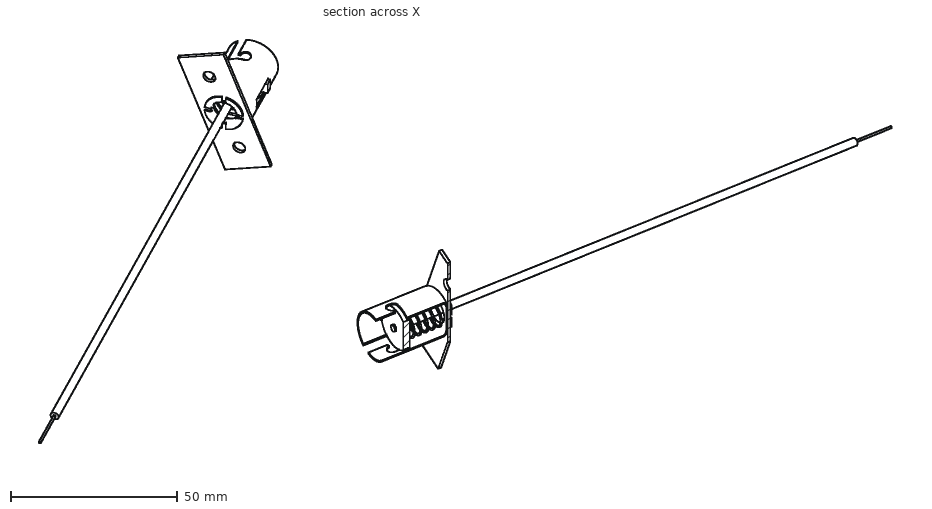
import cadquery as cq
import math


DIAGONAL = math.sqrt(0.5)

PLATE_WIDTH = 15.7
PLATE_LENGTH = 42.9
PLATE_THICKNESS = 1.1
PLATE_TILT = 20.7
SCREW_HOLE_DIAMETER = 4.0
SCREW_HOLE_SPACING = 27.0

BARREL_RADIUS = 8.2
BARREL_LENGTH = 23.9
BARREL_WALL = 0.5
BARREL_FILLET = 1.5
NECK_BORE_RADIUS = 4.0
BORE_FLARE_RADIUS = 0.7
RIM_RADIUS = 6.1
RIM_THICKNESS = 0.5
SLIT_WIDTH = 1.3
NECK_RADIUS = NECK_BORE_RADIUS + BARREL_WALL

SLOT_LEFT = -4.8
SLOT_WIDTH = 2.8
SLOT_DEPTH = 9.3
HOOK_CENTRE = 0.28
HOOK_RADIUS = 1.7
HOOK_TOP_DEPTH = 5.4
HOOK_FOOT_DEPTH = 6.9

WINDOW_START_DEPTH = 8.0
WINDOW_LENGTH = 10.8
WINDOW_WIDTH = 4.1
WINDOW_CORNER_RADIUS = 1.1

PLUNGER_RADIUS = 7.3
PLUNGER_THICKNESS = 2.5
EAR_REACH = 8.5
EAR_WIDTH = 3.5

SPRING_WIRE_RADIUS = 0.28
SPRING_RADIUS = 4.7
SPRING_TURNS = 5.0
SPRING_END_GAP = 0.05

INSULATION_RADIUS = 1.3
CORE_RADIUS = 0.4
STRIPPED_LENGTH = 12.9
TOTAL_LENGTH = 186.4
CONTACT_RADIUS = 1.1
CONTACT_HEIGHT = 0.5

PLUNGER_FRONT = BARREL_LENGTH - WINDOW_START_DEPTH
PLUNGER_BACK = PLUNGER_FRONT - PLUNGER_THICKNESS
CORE_END = BARREL_LENGTH - TOTAL_LENGTH
INSULATION_END = CORE_END + STRIPPED_LENGTH


def cylinder_along_y(radius, start, end):
    """Solid cylinder on the Y axis between two places along it."""
    return cq.Workplane("XZ", origin=(0, start, 0)).circle(radius).extrude(start - end)


def make_plate():
    plate = (
        cq.Workplane("XZ")
        .rect(PLATE_WIDTH, PLATE_LENGTH)
        .extrude(PLATE_THICKNESS)
        .faces("<Y")
        .workplane(origin=(0, 0, 0))
        .pushPoints([(0, -SCREW_HOLE_SPACING / 2), (0, SCREW_HOLE_SPACING / 2)])
        .hole(SCREW_HOLE_DIAMETER)
        .cut(cylinder_along_y(NECK_RADIUS, -PLATE_THICKNESS, 0))
    )
    return plate.rotate((0, 0, 0), (0, 1, 0), -PLATE_TILT)


def make_barrel_shell():
    """Thin cup whose neck passes through the plate and is rolled over its front."""
    rim_front = -PLATE_THICKNESS - RIM_THICKNESS
    flare_outer = NECK_BORE_RADIUS + BORE_FLARE_RADIUS
    flare_inset = BORE_FLARE_RADIUS * (1 - DIAGONAL)
    inner_radius = BARREL_RADIUS - BARREL_WALL
    inner_fillet = BARREL_FILLET - BARREL_WALL
    profile = (
        cq.Workplane("XY")
        .moveTo(-flare_outer, rim_front)
        .lineTo(-RIM_RADIUS, rim_front)
        .lineTo(-RIM_RADIUS, -PLATE_THICKNESS)
        .lineTo(-NECK_RADIUS, -PLATE_THICKNESS)
        .lineTo(-NECK_RADIUS, 0)
        .lineTo(-BARREL_RADIUS + BARREL_FILLET, 0)
        .threePointArc(
            (-BARREL_RADIUS + BARREL_FILLET * (1 - DIAGONAL), BARREL_FILLET * (1 - DIAGONAL)),
            (-BARREL_RADIUS, BARREL_FILLET),
        )
        .lineTo(-BARREL_RADIUS, BARREL_LENGTH)
        .lineTo(-inner_radius, BARREL_LENGTH)
        .lineTo(-inner_radius, BARREL_FILLET)
        .threePointArc(
            (-inner_radius + inner_fillet * (1 - DIAGONAL), BARREL_FILLET - inner_fillet * DIAGONAL),
            (-inner_radius + inner_fillet, BARREL_WALL),
        )
        .lineTo(-NECK_BORE_RADIUS, BARREL_WALL)
        .lineTo(-NECK_BORE_RADIUS, rim_front + BORE_FLARE_RADIUS)
        .threePointArc(
            (-NECK_BORE_RADIUS - flare_inset, rim_front + flare_inset),
            (-flare_outer, rim_front),
        )
        .close()
    )
    return profile.revolve(360, (0, 0, 0), (0, 1, 0))


def make_bayonet_slot():
    """Cutter for one J-shaped slot, open at the barrel's end, on the +Z side."""
    slot_right = SLOT_LEFT + SLOT_WIDTH
    slot_bottom = BARREL_LENGTH - SLOT_DEPTH
    foot_top = BARREL_LENGTH - HOOK_FOOT_DEPTH
    hook_top = BARREL_LENGTH - HOOK_TOP_DEPTH
    hook_left = HOOK_CENTRE - HOOK_RADIUS
    hook_right = HOOK_CENTRE + HOOK_RADIUS
    corner_inset = HOOK_RADIUS * (1 - DIAGONAL)
    return (
        cq.Workplane("XY")
        .moveTo(SLOT_LEFT, BARREL_LENGTH)
        .lineTo(SLOT_LEFT, slot_bottom)
        .lineTo(HOOK_CENTRE, slot_bottom)
        .threePointArc(
            (hook_right - corner_inset, slot_bottom + corner_inset),
            (hook_right, slot_bottom + HOOK_RADIUS),
        )
        .lineTo(hook_right, hook_top - HOOK_RADIUS)
        .threePointArc((HOOK_CENTRE, hook_top), (hook_left, hook_top - HOOK_RADIUS))
        .lineTo(hook_left, foot_top)
        .lineTo(slot_right, foot_top)
        .lineTo(slot_right, BARREL_LENGTH)
        .close()
        .extrude(BARREL_RADIUS)
    )


def make_guide_windows():
    """Cutter for the two opposite windows on the -X and +X sides."""
    middle = BARREL_LENGTH - WINDOW_START_DEPTH - WINDOW_LENGTH / 2
    return (
        cq.Workplane("XY")
        .box(2 * BARREL_RADIUS, WINDOW_LENGTH, WINDOW_WIDTH)
        .edges("|X and <Y")
        .fillet(WINDOW_CORNER_RADIUS)
        .translate((0, middle, 0))
    )


def make_rim_slit():
    """Cutter for two opposite slits that part the rolled rim into tabs."""
    slit = cq.Workplane("XY").box(2 * RIM_RADIUS, RIM_THICKNESS, SLIT_WIDTH)
    return slit.translate((0, -PLATE_THICKNESS - RIM_THICKNESS / 2, 0))


def make_barrel():
    barrel = make_barrel_shell().cut(make_guide_windows())
    for angle in (0, 90):
        barrel = barrel.cut(make_rim_slit().rotate((0, 0, 0), (0, 1, 0), angle))
    for angle in (0, 180):
        barrel = barrel.cut(make_bayonet_slot().rotate((0, 0, 0), (0, 1, 0), angle))
    return barrel


def make_plunger():
    """Disc with two ears that run in the windows, bored for the cable's core."""
    ears = cq.Workplane("XY").box(2 * EAR_REACH, PLUNGER_THICKNESS, EAR_WIDTH)
    ears = ears.translate((0, (PLUNGER_FRONT + PLUNGER_BACK) / 2, 0))
    disc = cylinder_along_y(PLUNGER_RADIUS, PLUNGER_BACK, PLUNGER_FRONT)
    return disc.union(ears).cut(cylinder_along_y(CORE_RADIUS, PLUNGER_BACK, PLUNGER_FRONT))


def make_spring():
    """Coil spring between the barrel's floor and the back of the plunger."""
    end_offset = SPRING_WIRE_RADIUS + SPRING_END_GAP
    height = PLUNGER_BACK - BARREL_WALL - 2 * end_offset
    path = cq.Wire.makeHelix(height / SPRING_TURNS, height, SPRING_RADIUS)
    spring = (
        cq.Workplane("XZ", origin=(SPRING_RADIUS, 0, 0))
        .circle(SPRING_WIRE_RADIUS)
        .sweep(cq.Workplane(path), isFrenet=True)
    )
    upright_to_y = spring.rotate((0, 0, 0), (1, 0, 0), -90)
    return upright_to_y.translate((0, BARREL_WALL + end_offset, 0))


def make_insulation():
    sleeve = cylinder_along_y(INSULATION_RADIUS, INSULATION_END, PLUNGER_BACK)
    return sleeve.cut(cylinder_along_y(CORE_RADIUS, INSULATION_END, PLUNGER_BACK))


def make_core():
    """Bare conductor, ending in a contact button on the plunger's face."""
    conductor = cylinder_along_y(CORE_RADIUS, CORE_END, PLUNGER_FRONT)
    contact = cylinder_along_y(CONTACT_RADIUS, PLUNGER_FRONT, PLUNGER_FRONT + CONTACT_HEIGHT)
    return conductor.union(contact)


plate = make_plate()
barrel = make_barrel()
plunger = make_plunger()
spring = make_spring()
insulation = make_insulation()
core = make_core()

result = cq.Compound.makeCompound(
    [plate.val(), barrel.val(), plunger.val(), spring.val(), insulation.val(), core.val()]
)